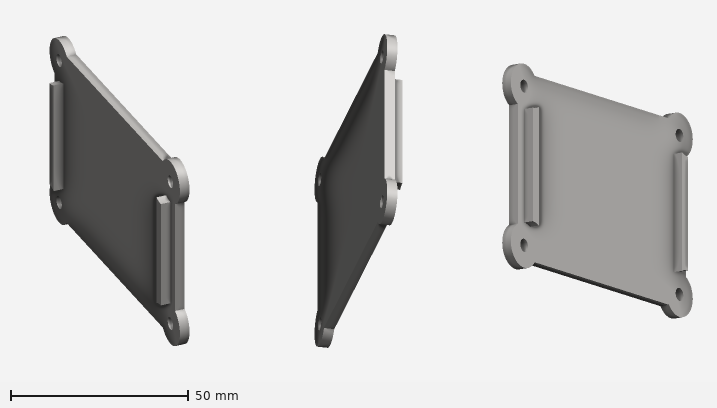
import cadquery as cq

total_width = 89.0
total_height = 59.0
total_depth = 6.0

plate_width = 82.2
plate_height = 53.9
plate_thickness = total_depth / 2

lobe_radius = 6.5
hole_diameter = 3.7
hole_x = total_width / 2 - lobe_radius
hole_z = total_height / 2 - lobe_radius

rib_width = 2.9
rib_end_radius = 6.6
rib_outer_x = hole_x
rib_inner_x = rib_outer_x - rib_width

back_y = total_depth / 2
back_plane = cq.Workplane("XZ", origin=(0, back_y, 0))
rib_plane = cq.Workplane("XZ", origin=(0, back_y - plate_thickness, 0))
rib_depth = total_depth - plate_thickness

hole_centres = [(sx * hole_x, sz * hole_z) for sx in (-1, 1) for sz in (-1, 1)]


def make_plate():
    """Rectangular plate with a round, drilled lobe at each corner."""
    plate = back_plane.rect(plate_width, plate_height).extrude(plate_thickness)
    lobes = back_plane.pushPoints(hole_centres).circle(lobe_radius).extrude(plate_thickness)
    holes = back_plane.pushPoints(hole_centres).circle(hole_diameter / 2).extrude(plate_thickness)
    return plate.union(lobes).cut(holes)


def make_rib(side):
    """Upright rib with ends hollowed by arcs about the holes; side is -1 for left and 1 for right."""
    rib_centre_x = side * (rib_outer_x + rib_inner_x) / 2
    bar = rib_plane.center(rib_centre_x, 0).rect(rib_width, 2 * hole_z).extrude(rib_depth)
    end_cuts = rib_plane.pushPoints(hole_centres).circle(rib_end_radius).extrude(rib_depth)
    return bar.cut(end_cuts)


result = make_plate()
for side in (-1, 1):
    result = result.union(make_rib(side))